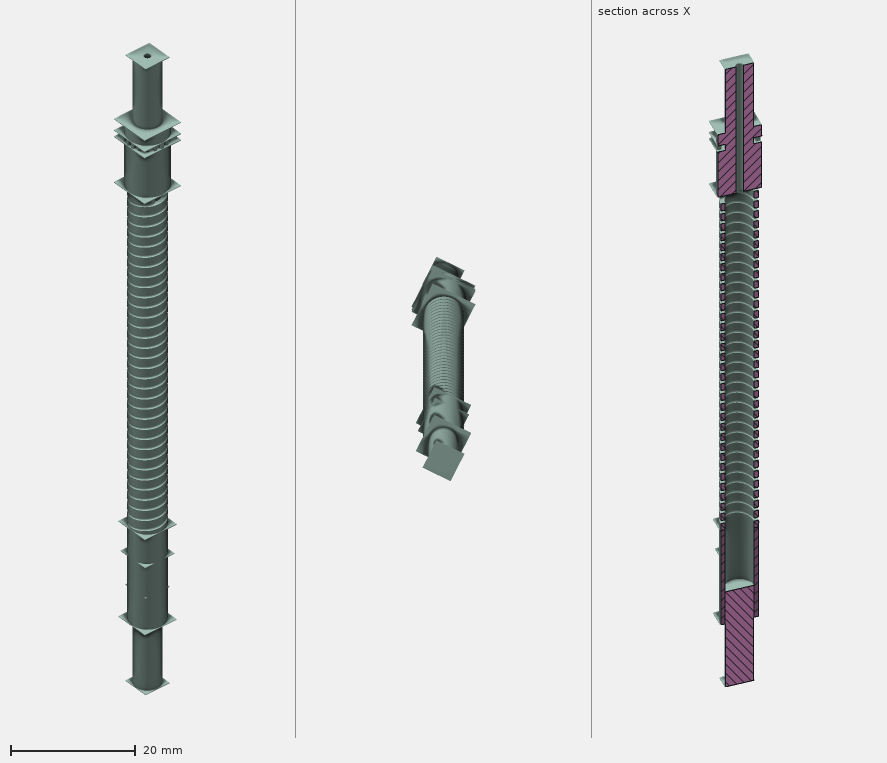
import cadquery as cq

total_length = 125.5
plate_thickness = 0.1

pin_diameter = 4.9
pin_plate_side = 5.0
pin_length = 12.9
centre_hole_diameter = 1.3

collar_diameter = 7.5
collar_plate_side = 7.7
collar_height = 12.8
collar_top = total_length - pin_length
collar_bottom = collar_top - collar_height

groove_height = 1.1
groove_depth_below_top = 2.4
groove_top = collar_top - groove_depth_below_top
groove_bottom = groove_top - groove_height
post_count = 18
post_width = 0.5
post_depth = 0.8
post_outer_radius = collar_diameter / 2

ferrule_diameter = 6.5
ferrule_plate_side = 6.7
sleeve_plate_side = 6.2
ferrule_bottom = 12.8
ferrule_height = 13.2
sleeve_height = 6.0
sleeve_bottom = ferrule_bottom + ferrule_height
sleeve_top = sleeve_bottom + sleeve_height
pin_end = ferrule_bottom + ferrule_height / 2

wire_height = 1.5
wire_inner_radius = pin_diameter / 2
wire_outer_radius = ferrule_diameter / 2
spring_turns = 33.4
spring_rise = collar_bottom - sleeve_top
spring_pitch = spring_rise / spring_turns
spring_bottom = sleeve_top - wire_height
spring_start_angle = 197

seat_inner_clearance = 0.1
seat_outer_clearance = 0.03


def cylinder(diameter, bottom, top):
    return cq.Workplane("XY").workplane(offset=bottom).circle(diameter / 2).extrude(top - bottom)


def square_plate(side, bottom):
    return cq.Workplane("XY").workplane(offset=bottom).rect(side, side).extrude(plate_thickness)


def helical_wire(inner_radius, outer_radius, rise):
    """Rectangular wire whose lower end is the spring's lower end and which climbs by rise."""
    middle_radius = (inner_radius + outer_radius) / 2
    middle_height = wire_height / 2
    helix = cq.Wire.makeHelix(spring_pitch, rise, middle_radius)
    path = cq.Workplane(helix.translate(cq.Vector(0, 0, middle_height)))
    section = (
        cq.Workplane("XZ")
        .center(middle_radius, middle_height)
        .rect(outer_radius - inner_radius, wire_height)
    )
    wire = section.sweep(path, isFrenet=True)
    return wire.rotate((0, 0, 0), (0, 0, 1), spring_start_angle).translate((0, 0, spring_bottom))


def groove_post(angle):
    """One upright post at the rim of the groove."""
    return (
        cq.Workplane("XY")
        .box(post_depth, post_width, groove_height, centered=(True, True, False))
        .translate((post_outer_radius - post_depth / 2, 0, groove_bottom))
        .rotate((0, 0, 0), (0, 0, 1), angle)
    )


def make_upper_fitting():
    """Pin and grooved collar in one piece."""
    body = cylinder(pin_diameter, collar_bottom, total_length)
    body = body.union(cylinder(collar_diameter, collar_bottom, groove_bottom))
    body = body.union(cylinder(collar_diameter, groove_top, collar_top))

    body = body.union(square_plate(pin_plate_side, total_length - plate_thickness))
    collar_plate_levels = [
        collar_bottom,
        groove_bottom - plate_thickness,
        groove_top,
        collar_top - plate_thickness,
    ]
    for level in collar_plate_levels:
        body = body.union(square_plate(collar_plate_side, level))

    for index in range(post_count):
        body = body.union(groove_post(index * 360 / post_count))

    return body.cut(cylinder(centre_hole_diameter, collar_bottom, total_length))


def make_spring():
    """Coil from the seat in the sleeve up to the underside of the collar."""
    return helical_wire(wire_inner_radius, wire_outer_radius, spring_rise)


def make_ferrule():
    """Tube that holds the lower pin and the first turn of the spring."""
    body = cylinder(ferrule_diameter, ferrule_bottom, sleeve_top)

    plates = [
        (ferrule_plate_side, ferrule_bottom),
        (pin_plate_side, pin_end - plate_thickness),
        (sleeve_plate_side, sleeve_bottom),
        (ferrule_plate_side, sleeve_top - plate_thickness),
    ]
    for side, level in plates:
        body = body.union(square_plate(side, level))

    body = body.cut(cylinder(pin_diameter, ferrule_bottom, sleeve_top))

    seat_inner_radius = wire_inner_radius - seat_inner_clearance
    seat_outer_radius = wire_outer_radius + seat_outer_clearance
    return body.cut(helical_wire(seat_inner_radius, seat_outer_radius, spring_pitch))


def make_lower_pin():
    """Plain pin that ends halfway up the ferrule."""
    return cylinder(pin_diameter, 0, pin_end).union(square_plate(pin_plate_side, 0))


upper_fitting = make_upper_fitting()
spring = make_spring()
ferrule = make_ferrule()
lower_pin = make_lower_pin()

result = cq.Compound.makeCompound(
    [upper_fitting.val(), spring.val(), ferrule.val(), lower_pin.val()]
)